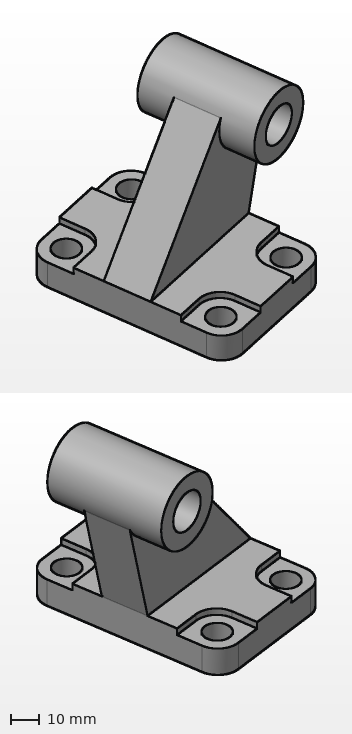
import cadquery as cq
import math

base_length = 86
base_depth = 60.0
base_height = 14.0
corner_radius = 9.0

hole_diameter = 11.0
hole_spacing_x = 66.0
hole_spacing_y = 40.0
seat_size = 20.0
seat_depth = 2.75

barrel_diameter = 30.0
barrel_length = 50.0
bore_diameter = 16.0
total_height = 78.0
barrel_overhang = 11.95
barrel_radius = barrel_diameter / 2
barrel_y = base_depth / 2 + barrel_overhang - barrel_radius
barrel_z = total_height - barrel_radius

web_thickness = 20.0
front_contact_angle = 21
back_contact_angle = 27


def make_base():
    plate = cq.Workplane("XY").box(base_length, base_depth, base_height, centered=(True, True, False))
    return plate.edges("|Z").fillet(corner_radius)


def make_seat(side_x, side_y):
    """Corner cut whose only rounded corner faces the middle of the base."""
    center_x = side_x * (base_length - seat_size) / 2
    center_y = side_y * (base_depth - seat_size) / 2
    inner_x = "<X" if side_x > 0 else ">X"
    inner_y = "<Y" if side_y > 0 else ">Y"
    return (
        cq.Workplane("XY")
        .box(seat_size, seat_size, seat_depth, centered=(True, True, False))
        .faces(inner_x)
        .edges(inner_y)
        .fillet(corner_radius)
        .translate((center_x, center_y, base_height - seat_depth))
    )


def barrel_point(angle_degrees):
    """Point (Y, Z) on the barrel circle, measured from +Y towards +Z."""
    angle = math.radians(angle_degrees)
    return (barrel_y + barrel_radius * math.cos(angle), barrel_z + barrel_radius * math.sin(angle))


def make_web():
    outline = [
        (-base_depth / 2, base_height),
        (base_depth / 2, base_height),
        barrel_point(-back_contact_angle),
        barrel_point(180 - front_contact_angle),
    ]
    return cq.Workplane("YZ").polyline(outline).close().extrude(web_thickness / 2, both=True)


def make_cylinder(diameter):
    return (
        cq.Workplane("YZ", origin=(-barrel_length / 2, 0, 0))
        .center(barrel_y, barrel_z)
        .circle(diameter / 2)
        .extrude(barrel_length)
    )


base = make_base()
for side_x in (-1, 1):
    for side_y in (-1, 1):
        base = base.cut(make_seat(side_x, side_y))
bolt_holes = (
    cq.Workplane("XY")
    .rarray(hole_spacing_x, hole_spacing_y, 2, 2)
    .circle(hole_diameter / 2)
    .extrude(base_height)
)
base = base.cut(bolt_holes)

result = base.union(make_web()).union(make_cylinder(barrel_diameter)).cut(make_cylinder(bore_diameter))